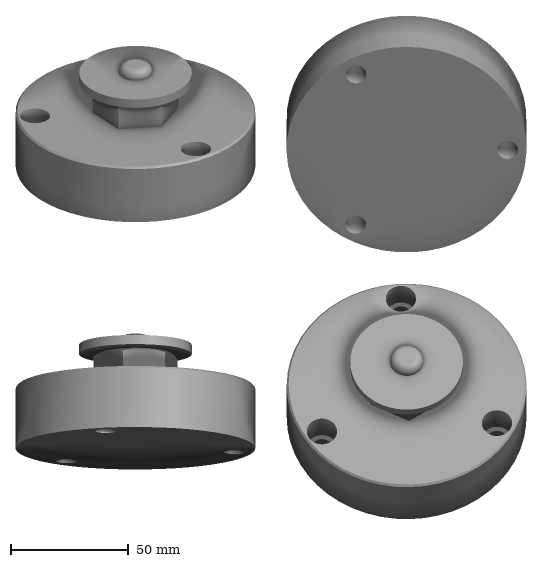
import cadquery as cq
import math

base_diameter = 101.6
base_height = 26.4
base_chamfer = 0.8

hole_count = 3
hole_circle_radius = 42.9
first_hole_angle = 90.0
hole_diameter = 8.8
counterbore_diameter = 12.8
counterbore_depth = base_height / 2

nut_corner_diameter = 36.6
nut_height = 14.1
nut_top_radius = 15.3
nut_chamfer_angle = 30.0

washer_diameter = 47.8
washer_thickness = 4.0

stud_diameter = 14.0
stud_projection = 4.2
dome_height = 3.4
dome_flat_diameter = 7.8

nut_top = base_height + nut_height
washer_top = nut_top + washer_thickness
stud_top = washer_top + stud_projection


def stud_bore(bottom, height):
    """Cylinder that clears the stud out of a body it passes through."""
    return cq.Workplane("XY").workplane(offset=bottom).circle(stud_diameter / 2).extrude(height)


def make_base():
    disc = cq.Workplane("XY").circle(base_diameter / 2).extrude(base_height)
    disc = disc.faces(">Z").edges().chamfer(base_chamfer)
    disc = (
        disc.faces(">Z")
        .workplane(origin=(0, 0, base_height))
        .polarArray(hole_circle_radius, first_hole_angle, 360, hole_count)
        .cboreHole(hole_diameter, counterbore_diameter, counterbore_depth)
    )
    return disc.cut(stud_bore(0, base_height))


def make_nut():
    hexagon = (
        cq.Workplane("XY")
        .workplane(offset=base_height)
        .transformed(rotate=(0, 0, 90))
        .polygon(6, nut_corner_diameter)
        .extrude(nut_height)
    )
    corner_radius = nut_corner_diameter / 2
    corner_drop = (corner_radius - nut_top_radius) * math.tan(math.radians(nut_chamfer_angle))
    envelope = (
        cq.Workplane("XZ")
        .moveTo(0, base_height)
        .lineTo(corner_radius, base_height)
        .lineTo(corner_radius, nut_top - corner_drop)
        .lineTo(nut_top_radius, nut_top)
        .lineTo(0, nut_top)
        .close()
        .revolve(360, (0, 0, 0), (0, 1, 0))
    )
    return hexagon.intersect(envelope).cut(stud_bore(base_height, nut_height))


def make_washer():
    disc = cq.Workplane("XY").workplane(offset=nut_top).circle(washer_diameter / 2).extrude(washer_thickness)
    return disc.cut(stud_bore(nut_top, washer_thickness))


def make_stud():
    stud_radius = stud_diameter / 2
    flat_radius = dome_flat_diameter / 2
    dome_bottom = stud_top - dome_height
    return (
        cq.Workplane("XZ")
        .lineTo(stud_radius, 0)
        .lineTo(stud_radius, dome_bottom)
        .tangentArcPoint((flat_radius, stud_top), relative=False)
        .lineTo(0, stud_top)
        .close()
        .revolve(360, (0, 0, 0), (0, 1, 0))
    )


base = make_base()
nut = make_nut()
washer = make_washer()
stud = make_stud()

result = cq.Compound.makeCompound([base.val(), nut.val(), washer.val(), stud.val()])